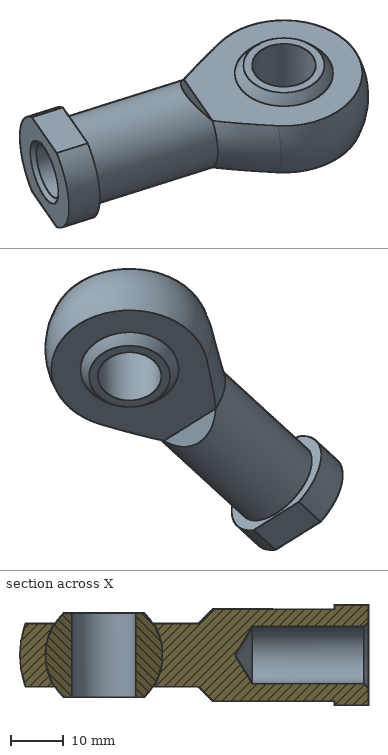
import cadquery as cq
import math


eye_radius = 16.0
eye_thickness = 12.0
neck_end_y = -17.9

shank_end_y = eye_radius - 66.0
shank_radius = 17.5 / 2
collar_radius = 22.0 / 2
collar_length = 6.5
collar_across_flats = 19.0

socket_radius = 10.75 / 2
socket_rim_radius = 12.5 / 2
socket_depth = 22.0
drill_point_angle = 118.0

ball_width = 16.0
ball_face_radius = 15.3 / 2
ball_bore_radius = 12.0 / 2
ball_radius = math.hypot(ball_face_radius, ball_width / 2)


def revolved_blank():
    """Spherical eye, cone tangent to it, shank and collar, turned about Y."""
    neck_end_angle = math.atan2(shank_radius, -neck_end_y)
    neck_end_distance = math.hypot(shank_radius, neck_end_y)
    tangent_angle = neck_end_angle + math.acos(eye_radius / neck_end_distance)
    tangent_x = eye_radius * math.sin(tangent_angle)
    tangent_y = -eye_radius * math.cos(tangent_angle)
    collar_start_y = shank_end_y + collar_length
    return (
        cq.Workplane("XY")
        .moveTo(0, eye_radius)
        .threePointArc((eye_radius, 0), (tangent_x, tangent_y))
        .lineTo(shank_radius, neck_end_y)
        .lineTo(shank_radius, collar_start_y)
        .lineTo(collar_radius, collar_start_y)
        .lineTo(collar_radius, shank_end_y)
        .lineTo(0, shank_end_y)
        .close()
        .revolve(360, (0, 0, 0), (0, 1, 0))
    )


def thickness_envelope():
    """Side outline: flat eye, 45 degree ramps to the shank, and the collar flats."""
    half_eye = eye_thickness / 2
    half_flats = collar_across_flats / 2
    ramp_end_y = neck_end_y - (half_flats - half_eye)
    return (
        cq.Workplane("YZ")
        .moveTo(eye_radius, half_eye)
        .lineTo(neck_end_y, half_eye)
        .lineTo(ramp_end_y, half_flats)
        .lineTo(shank_end_y, half_flats)
        .lineTo(shank_end_y, -half_flats)
        .lineTo(ramp_end_y, -half_flats)
        .lineTo(neck_end_y, -half_eye)
        .lineTo(eye_radius, -half_eye)
        .close()
        .extrude(eye_radius, both=True)
    )


def socket_cutter():
    """Blind hole with a 45 degree rim chamfer and a conical drill point."""
    rim_chamfer = socket_rim_radius - socket_radius
    socket_floor_y = shank_end_y + socket_depth
    point_length = socket_radius / math.tan(math.radians(drill_point_angle / 2))
    return (
        cq.Workplane("XY")
        .moveTo(0, shank_end_y)
        .lineTo(socket_rim_radius, shank_end_y)
        .lineTo(socket_radius, shank_end_y + rim_chamfer)
        .lineTo(socket_radius, socket_floor_y)
        .lineTo(0, socket_floor_y + point_length)
        .close()
        .revolve(360, (0, 0, 0), (0, 1, 0))
    )


def make_housing():
    """Rod-end housing with its spherical seat and threaded socket."""
    ball_seat = cq.Workplane("XY").sphere(ball_radius)
    return revolved_blank().intersect(thickness_envelope()).cut(ball_seat).cut(socket_cutter())


def make_ball():
    """Spherical ball with flat faces and a through bore along Z."""
    half_width = ball_width / 2
    return (
        cq.Workplane("XZ")
        .moveTo(ball_bore_radius, -half_width)
        .lineTo(ball_face_radius, -half_width)
        .threePointArc((ball_radius, 0), (ball_face_radius, half_width))
        .lineTo(ball_bore_radius, half_width)
        .close()
        .revolve(360, (0, 0, 0), (0, 1, 0))
    )


housing = make_housing()
ball = make_ball()
result = cq.Compound.makeCompound([housing.solids().val(), ball.solids().val()])